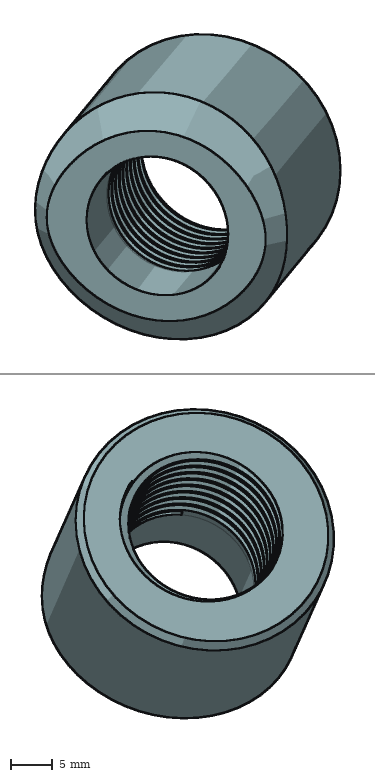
import cadquery as cq
import math


body_radius = 31.75 / 2
body_length = 25.4
back_chamfer = 0.85
tool_clearance = 1.0

pipe_radius = 109.5
saddle_reach = 2.0

land_half_width = 13.78
land_half_height = 12.22
land_fullness = 0.39
bevel_back = 6.0
outline_points = 48

bore_radius = 17.8 / 2
thread_start = 8.4
thread_length = body_length - thread_start
thread_pitch = 25.4 / 14
thread_taper = 1 / 32
crest_flat = 0.45
flank_angle = 30
groove_lead_in = 0.45
groove_run_out = 1.5
groove_overlap = 0.1


def saddle_height(x):
    """Y of the pipe surface at the given X."""
    return math.sqrt(pipe_radius**2 - x**2) - pipe_radius


def land_radius(angle):
    """Distance from the Y axis to the outer edge of the land, seen along Y."""
    side = land_fullness * math.cos(angle) ** 2
    top = math.sin(angle) ** 2
    return (land_half_width * side + land_half_height * top) / (side + top)


def bevel_outline(y):
    """Closed section of the 45-degree bevel at the given Y."""
    points = []
    for i in range(outline_points):
        angle = 2 * math.pi * i / outline_points
        edge_radius = land_radius(angle)
        edge_y = saddle_height(edge_radius * math.cos(angle))
        radius = edge_radius + y - edge_y
        points.append(cq.Vector(radius * math.cos(angle), y, radius * math.sin(angle)))
    return cq.Wire.assembleEdges([cq.Edge.makeSpline(points, periodic=True)])


def cylinder_along_y(radius, start, end):
    return cq.Workplane("XZ", origin=(0, start, 0)).circle(radius).extrude(start - end)


def make_body():
    body = cylinder_along_y(body_radius, -saddle_reach, body_length)
    return body.faces(">Y").chamfer(back_chamfer)


def make_bevel_envelope():
    """Everything inside the bevel, from in front of the saddle to the back face."""
    front = cq.Solid.makeLoft([bevel_outline(-saddle_reach), bevel_outline(bevel_back)], True)
    rear = cylinder_along_y(body_radius + tool_clearance, bevel_back, body_length)
    return cq.Workplane(front).union(rear)


def make_pipe():
    pipe = cq.Workplane("XY", origin=(0, -pipe_radius, 0)).circle(pipe_radius)
    return pipe.extrude(body_radius + tool_clearance, both=True)


def make_tapered_bore():
    end_radius = bore_radius + thread_length * thread_taper
    profile = [
        (0, thread_start),
        (bore_radius, thread_start),
        (end_radius, body_length),
        (0, body_length),
    ]
    return cq.Workplane("XY").polyline(profile).close().revolve(360, (0, 0, 0), (0, 1, 0))


def make_thread_groove():
    """Helical V groove on the tapered bore, starting at +Z and advancing toward +Y."""
    flank_slope = math.tan(math.radians(flank_angle))
    half_mouth = (thread_pitch - crest_flat) / 2
    root_radius = bore_radius + half_mouth / flank_slope
    inner_radius = bore_radius - groove_overlap
    half_width = half_mouth + groove_overlap * flank_slope

    length = thread_length + groove_lead_in + groove_run_out
    taper_angle = math.degrees(math.atan(thread_taper))
    helix = cq.Wire.makeHelix(thread_pitch, length, bore_radius, angle=taper_angle)
    corners = [
        (inner_radius, half_mouth - half_width),
        (root_radius, half_mouth),
        (inner_radius, half_mouth + half_width),
    ]
    profile = cq.Workplane("XZ").polyline(corners).close()
    groove = profile.sweep(cq.Workplane(helix), isFrenet=True)

    groove = groove.rotate((0, 0, 0), (0, 0, 1), -90).rotate((0, 0, 0), (1, 0, 0), -90)
    groove = groove.translate((0, thread_start - groove_lead_in, 0))
    groove_end = body_length + groove_run_out
    return groove.intersect(cylinder_along_y(body_radius, thread_start, groove_end))


def make_bore():
    plain_bore = cylinder_along_y(bore_radius, -saddle_reach, body_length)
    return make_tapered_bore().union(plain_bore)


result = make_body().intersect(make_bevel_envelope()).cut(make_pipe())
result = result.cut(make_thread_groove()).cut(make_bore())